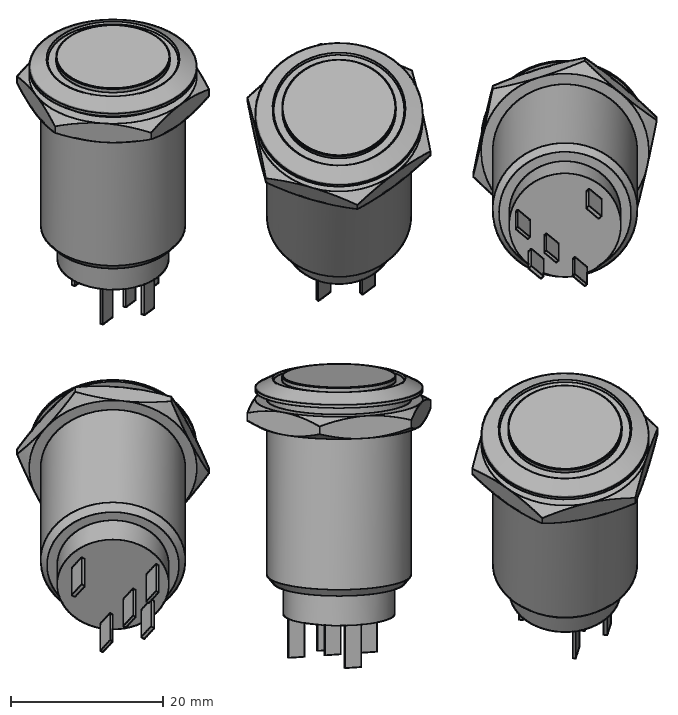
import cadquery as cq
import math

total_height = 38.0
terminal_length = 6.0
base_height = 4.25
barrel_bottom = terminal_length + base_height
bezel_top = total_height - 0.38
bezel_bottom = total_height - 2.0
nut_top = total_height - 3.2
nut_height = 3.0

base_radius = 7.35
barrel_radius = 9.5
bezel_radius = 11.0
bezel_lip_radius = 8.75
button_radius = 7.5

barrel_chamfer_height = 1.03
barrel_chamfer_width = 0.85
rim_height = 0.4
rim_chamfer = 0.1
recess_depth = 0.25
recess_chamfer = 0.2
button_chamfer = 0.1

blade_width = 2.2
blade_thickness = 0.55
lamp_blade_width = 2.15
lamp_blade_thickness = 0.4
contact_x = 5.7
lamp_x = 2.7
lamp_y = 5.0

nut_across_flats = 2 * bezel_radius
nut_across_corners = nut_across_flats / math.cos(math.radians(30))
nut_chamfer_angle = 30.0


def make_switch_core():
    """Base, barrel, bezel and push button, revolved about Z."""
    recess_floor = bezel_top - recess_depth
    rim_top = bezel_bottom + rim_height
    profile = [
        (0, terminal_length),
        (base_radius, terminal_length),
        (base_radius, barrel_bottom),
        (barrel_radius - barrel_chamfer_width, barrel_bottom),
        (barrel_radius, barrel_bottom + barrel_chamfer_height),
        (barrel_radius, bezel_bottom),
        (bezel_radius, bezel_bottom),
        (bezel_radius, rim_top),
        (bezel_radius - rim_chamfer, rim_top + rim_chamfer),
        (bezel_lip_radius, bezel_top),
        (bezel_lip_radius - recess_chamfer, recess_floor),
        (button_radius, recess_floor),
        (button_radius, total_height - button_chamfer),
        (button_radius - button_chamfer, total_height),
        (0, total_height),
    ]
    return cq.Workplane("XZ").polyline(profile).close().revolve(360, (0, 0), (0, 1))


def make_blade(x, y, thickness, width):
    """One terminal blade, from its tip up to the underside of the base."""
    blade = cq.Workplane("XY").box(thickness, width, terminal_length, centered=(True, True, False))
    return blade.translate((x, y, 0))


def make_switch():
    switch = make_switch_core()
    for x in (-contact_x, contact_x):
        switch = switch.union(make_blade(x, 0, blade_thickness, blade_width))
    for y in (-lamp_y, 0, lamp_y):
        switch = switch.union(make_blade(lamp_x, y, lamp_blade_thickness, lamp_blade_width))
    return switch


def make_nut():
    """Hexagonal nut with corners along Y, both faces turned to a cone, bored for the barrel."""
    nut_bottom = nut_top - nut_height
    flat_radius = nut_across_flats / 2
    corner_radius = nut_across_corners / 2
    corner_drop = (corner_radius - flat_radius) * math.tan(math.radians(nut_chamfer_angle))
    hexagon = (
        cq.Workplane("XY")
        .workplane(offset=nut_bottom)
        .polygon(6, nut_across_corners)
        .extrude(nut_height)
        .rotate((0, 0, 0), (0, 0, 1), 90)
    )
    ring = [
        (barrel_radius, nut_bottom),
        (flat_radius, nut_bottom),
        (corner_radius, nut_bottom + corner_drop),
        (corner_radius, nut_top - corner_drop),
        (flat_radius, nut_top),
        (barrel_radius, nut_top),
    ]
    envelope = cq.Workplane("XZ").polyline(ring).close().revolve(360, (0, 0), (0, 1))
    return hexagon.intersect(envelope)


switch = make_switch()
nut = make_nut()

result = cq.Compound.makeCompound([switch.val(), nut.val()])